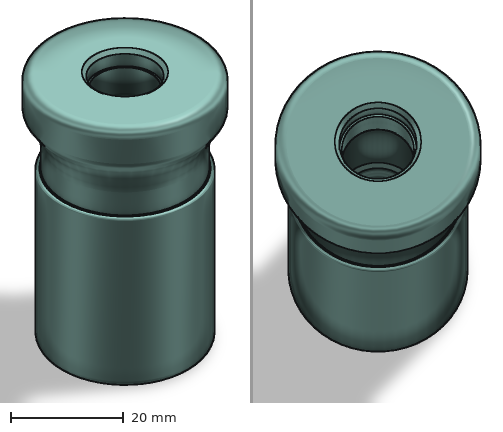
import cadquery as cq
import math

total_height = 57.15

head_radius = 18.26
head_round = 2.0
head_wall_bottom = 49.95
stem_radius = 15.0
cove_radius = 10.0
cove_bottom = 41.55
cove_angle = math.radians(39)

mouth_radius = 7.65
entry_radius = 6.85
mouth_chamfer = mouth_radius - entry_radius
entry_depth = 3.45
bore_radius = 6.4
bore_depth = 8.9
relief_radius = 7.65
relief_round = 1.15
relief_angle = math.radians(25)

shank_radius = 15.95
shank_top = 36.45
shank_top_round = 0.4
shank_bottom_round = 1.45
bevel_width = 0.25
bevel_height = 0.2

socket_depth = 5.7
socket_floor = shank_top - socket_depth
recess_radius = 6.6
recess_round = 0.45
recess_floor = socket_floor - recess_round
lip_outer_radius = 5.95
lip_round = 1.55
lip_angle = math.radians(80)
seat_radius = 7.65
through_radius = 3.5


def on_arc(center, radius, angle):
    """Point on a circle in the (radius, height) half plane."""
    return (center[0] + radius * math.cos(angle), center[1] + radius * math.sin(angle))


def add_arc(profile, center, radius, start, end):
    """Continue the profile along a circular arc between two angles."""
    middle = on_arc(center, radius, (start + end) / 2)
    return profile.threePointArc(middle, on_arc(center, radius, end))


def turn(profile):
    """Close the half profile and revolve it about the Z axis."""
    return profile.close().revolve(360, (0, 0, 0), (0, 1, 0))


def make_bush():
    cove_center = (stem_radius + cove_radius, cove_bottom)
    head_lower_center = (head_radius - head_round, head_wall_bottom)
    head_upper_center = (head_radius - head_round, total_height - head_round)
    bore_bottom = total_height - bore_depth
    relief_center = (bore_radius + relief_round, bore_bottom)
    relief_cone_top = on_arc(relief_center, relief_round, math.pi + relief_angle)
    relief_cone_height = (relief_radius - relief_cone_top[0]) / math.tan(relief_angle)

    profile = (
        cq.Workplane("XZ")
        .moveTo(relief_radius, socket_floor)
        .lineTo(stem_radius, socket_floor)
        .lineTo(stem_radius, cove_bottom)
    )
    profile = add_arc(profile, cove_center, cove_radius, math.pi, math.pi - cove_angle)
    profile = profile.lineTo(*on_arc(head_lower_center, head_round, -cove_angle))
    profile = add_arc(profile, head_lower_center, head_round, -cove_angle, 0)
    profile = profile.lineTo(head_radius, total_height - head_round)
    profile = add_arc(profile, head_upper_center, head_round, 0, math.pi / 2)

    profile = (
        profile.lineTo(mouth_radius, total_height)
        .lineTo(entry_radius, total_height - mouth_chamfer)
        .lineTo(entry_radius, total_height - entry_depth)
        .lineTo(bore_radius, total_height - entry_depth)
        .lineTo(bore_radius, bore_bottom)
    )
    profile = add_arc(profile, relief_center, relief_round, math.pi, math.pi + relief_angle)
    profile = profile.lineTo(relief_radius, relief_cone_top[1] - relief_cone_height)
    return turn(profile)


def make_shank():
    bottom_center = (shank_radius - shank_bottom_round, shank_bottom_round)
    top_center = (shank_radius - shank_top_round, shank_top - shank_top_round)
    recess_center = (recess_radius - recess_round, socket_floor)
    lip_center = (lip_outer_radius, recess_floor - lip_round)
    lip_end_angle = math.pi / 2 + lip_angle
    lip_end = on_arc(lip_center, lip_round, lip_end_angle)

    seat_start_angle = lip_angle - math.pi / 2
    seat_center = (
        lip_end[0] - seat_radius * math.cos(seat_start_angle),
        lip_end[1] - seat_radius * math.sin(seat_start_angle),
    )
    seat_end_angle = -math.acos((through_radius - seat_center[0]) / seat_radius)

    profile = cq.Workplane("XZ").moveTo(through_radius, 0).lineTo(bottom_center[0], 0)
    profile = add_arc(profile, bottom_center, shank_bottom_round, -math.pi / 2, 0)
    profile = profile.lineTo(shank_radius, top_center[1])
    profile = add_arc(profile, top_center, shank_top_round, 0, math.pi / 2)
    profile = (
        profile.lineTo(stem_radius + bevel_width, shank_top)
        .lineTo(stem_radius, shank_top + bevel_height)
    )

    profile = profile.lineTo(stem_radius, socket_floor).lineTo(recess_radius, socket_floor)
    profile = add_arc(profile, recess_center, recess_round, 0, -math.pi / 2)
    profile = profile.lineTo(lip_outer_radius, recess_floor)
    profile = add_arc(profile, lip_center, lip_round, math.pi / 2, lip_end_angle)
    profile = add_arc(profile, seat_center, seat_radius, seat_start_angle, seat_end_angle)
    return turn(profile)


bush = make_bush()
shank = make_shank()
result = cq.Compound.makeCompound([bush.val(), shank.val()])